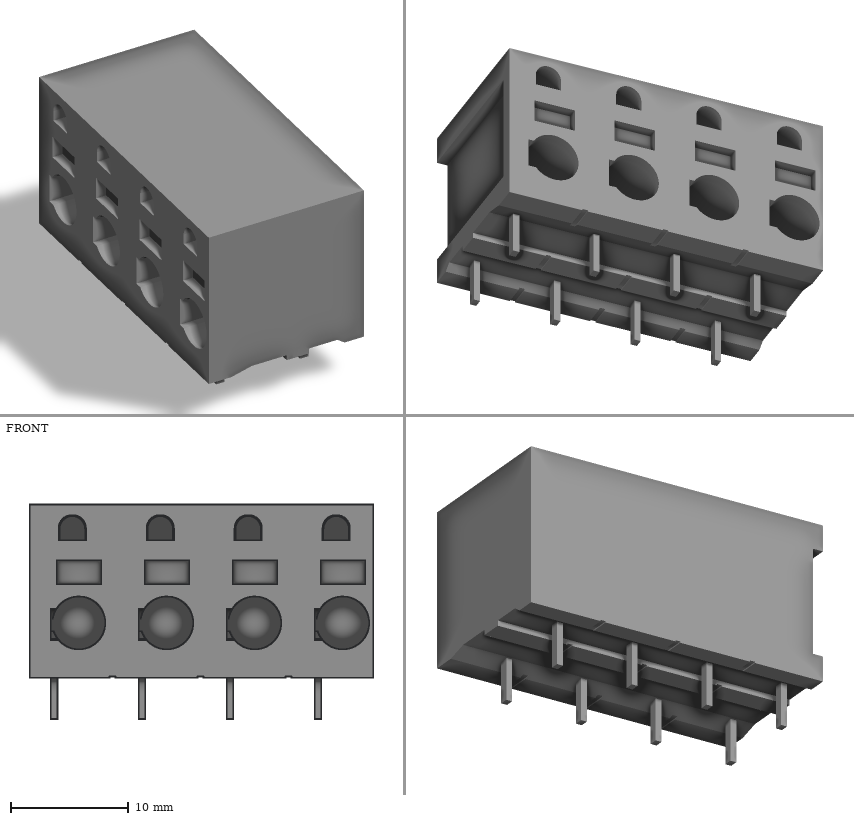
import cadquery as cq

HOUSING_WIDTH = 29.3
HOUSING_DEPTH = 15.2
HOUSING_HEIGHT = 14.8

POLE_COUNT = 4
POLE_PITCH = 7.5

FOOT_HEIGHT = 0.5
FRONT_FOOT_END = 2.23
FRONT_SLOPE_END = 4.22
MIDDLE_FOOT_START = 7.65
MIDDLE_FOOT_END = 9.82
BACK_SLOPE_START = 12.6
BACK_FOOT_START = 13.33

SLOT_CENTER_X = 7.05
SLOT_WIDTH = 0.5
SLOT_HEIGHT = 0.12

SIDE_RECESS_DEPTH = 1.0
SIDE_RECESS_FRONT = 1.23
SIDE_RECESS_BOTTOM = 2.37
SIDE_RECESS_TOP = 12.34

ARCH_CENTER_X = 3.63
ARCH_FLOOR_Z = 11.75
ARCH_CENTER_Z = 12.72
ARCH_RADIUS = 1.17
ARCH_NARROWING = 0.1
ARCH_DEPTH = 6.0

WINDOW_LEFT = 2.31
WINDOW_WIDTH = 3.78
WINDOW_BOTTOM = 7.97
WINDOW_HEIGHT = 2.08
WINDOW_DEPTH = 1.0

ENTRY_CENTER_X = 4.2
ENTRY_CENTER_Z = 4.7
ENTRY_RADIUS = 2.25
ENTRY_DEPTH = 6.0

PIN_WIDTH = 0.6
PIN_LEFT = 1.8
PIN_DEPTH = 0.82
PIN_BELOW = 3.52
PIN_TOP_Z = 1.5
PIN_CENTERS_Y = (3.65, 11.87)

NOTCH_BOTTOM = 3.22
NOTCH_TOP = 5.9
NOTCH_CEILING_RADIUS = 0.85
NOTCH_SILL_HEIGHT = 0.12
NOTCH_LOWER_RAMP_TOP = 3.7
NOTCH_UPPER_RAMP_TOP = 3.98
NOTCH_RAMP_LENGTH = 0.35


def box(x, y, z, width, depth, height):
    """Box with its lowest corner at (x, y, z)."""
    return cq.Workplane("XY").box(width, depth, height, centered=False).translate((x, y, z))


def pole_offsets():
    return [pole * POLE_PITCH for pole in range(POLE_COUNT)]


def housing_block():
    side_profile = [
        (0, 0),
        (FRONT_FOOT_END, 0),
        (FRONT_SLOPE_END, FOOT_HEIGHT),
        (MIDDLE_FOOT_START, FOOT_HEIGHT),
        (MIDDLE_FOOT_START, 0),
        (MIDDLE_FOOT_END, 0),
        (MIDDLE_FOOT_END, FOOT_HEIGHT),
        (BACK_SLOPE_START, FOOT_HEIGHT),
        (BACK_FOOT_START, 0),
        (HOUSING_DEPTH, 0),
        (HOUSING_DEPTH, HOUSING_HEIGHT),
        (0, HOUSING_HEIGHT),
    ]
    return cq.Workplane("YZ").polyline(side_profile).close().extrude(HOUSING_WIDTH)


def side_recess():
    return box(
        0,
        SIDE_RECESS_FRONT,
        SIDE_RECESS_BOTTOM,
        SIDE_RECESS_DEPTH,
        HOUSING_DEPTH - SIDE_RECESS_FRONT,
        SIDE_RECESS_TOP - SIDE_RECESS_BOTTOM,
    )


def underside_slot():
    return box(SLOT_CENTER_X - SLOT_WIDTH / 2, 0, 0, SLOT_WIDTH, HOUSING_DEPTH, SLOT_HEIGHT)


def arch_outline(plane, radius):
    """Add an arch of the given radius, standing on the opening's level floor."""
    return (
        plane.moveTo(ARCH_CENTER_X - radius, ARCH_FLOOR_Z)
        .lineTo(ARCH_CENTER_X + radius, ARCH_FLOOR_Z)
        .lineTo(ARCH_CENTER_X + radius, ARCH_CENTER_Z)
        .threePointArc((ARCH_CENTER_X, ARCH_CENTER_Z + radius), (ARCH_CENTER_X - radius, ARCH_CENTER_Z))
        .close()
    )


def arched_opening():
    front = arch_outline(cq.Workplane("XZ"), ARCH_RADIUS)
    back_plane = front.workplane(offset=-ARCH_DEPTH, origin=(0, 0, 0))
    return arch_outline(back_plane, ARCH_RADIUS - ARCH_NARROWING).loft(ruled=True)


def window():
    return box(WINDOW_LEFT, 0, WINDOW_BOTTOM, WINDOW_WIDTH, WINDOW_DEPTH, WINDOW_HEIGHT)


def wire_entry():
    return (
        cq.Workplane("XZ")
        .center(ENTRY_CENTER_X, ENTRY_CENTER_Z)
        .circle(ENTRY_RADIUS)
        .extrude(-ENTRY_DEPTH)
    )


def entry_notch():
    """Slot beside the wire entry with a rounded back top corner and two ramps at the back of its floor."""
    sill_z = NOTCH_BOTTOM + NOTCH_SILL_HEIGHT
    ramp_start_y = ENTRY_DEPTH - 2 * NOTCH_RAMP_LENGTH
    return (
        cq.Workplane("YZ", origin=(PIN_LEFT, 0, 0))
        .moveTo(0, NOTCH_BOTTOM)
        .lineTo(ramp_start_y, NOTCH_BOTTOM)
        .lineTo(ramp_start_y, sill_z)
        .lineTo(ramp_start_y + NOTCH_RAMP_LENGTH, NOTCH_LOWER_RAMP_TOP)
        .lineTo(ENTRY_DEPTH, NOTCH_UPPER_RAMP_TOP)
        .lineTo(ENTRY_DEPTH, NOTCH_TOP - NOTCH_CEILING_RADIUS)
        .tangentArcPoint((ENTRY_DEPTH - NOTCH_CEILING_RADIUS, NOTCH_TOP), relative=False)
        .lineTo(0, NOTCH_TOP)
        .close()
        .extrude(ENTRY_CENTER_X - PIN_LEFT)
    )


def make_pin(offset_x, center_y):
    return box(
        PIN_LEFT + offset_x,
        center_y - PIN_DEPTH / 2,
        -PIN_BELOW,
        PIN_WIDTH,
        PIN_DEPTH,
        PIN_BELOW + PIN_TOP_Z,
    )


def make_housing(pins):
    housing = housing_block().cut(side_recess())
    openings = [arched_opening(), window(), wire_entry(), entry_notch()]
    for offset_x in pole_offsets():
        for opening in openings:
            housing = housing.cut(opening.translate((offset_x, 0, 0)))
    for offset_x in pole_offsets()[:-1]:
        housing = housing.cut(underside_slot().translate((offset_x, 0, 0)))
    for pin in pins:
        housing = housing.cut(pin)
    return housing


pins = [make_pin(offset_x, center_y) for offset_x in pole_offsets() for center_y in PIN_CENTERS_Y]
housing = make_housing(pins)

result = cq.Compound.makeCompound([housing.val(), *[pin.val() for pin in pins]])